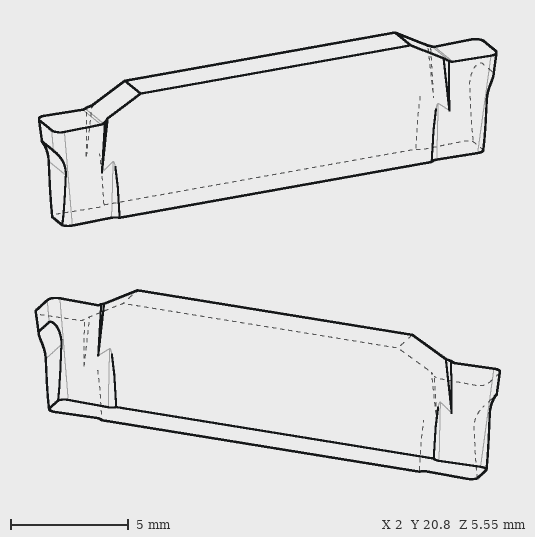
import cadquery as cq
import math

length = 20.83
head_width = 2.0
body_width = 1.58
body_height = 5.55
head_height = 4.5

tip_y = -length / 2
rake_length = 2.23
ramp_end = 4.08
neck_end = 2.8

nose_radius = 0.4
front_relief = 0.5
flank_relief = 0.25
flank_back_taper = 0.044
rake_blend_radius = 0.23
clearance_depth = 0.55
clearance_top = 3.52
clearance_bottom = 2.44

shoulder_top = 2.52
shoulder_relief = 0.5
shoulder_run = 1.4

runout_radius = 0.4
cut_margin = 0.42

half_body = body_width / 2
relief_slope = flank_relief / head_height


def flank_x(depth, z):
    """Half width of the head at a distance behind the edge and a height."""
    return head_width / 2 - flank_back_taper * (depth - nose_radius) - relief_slope * (head_height - z)


def side_profile():
    """Lengthwise outline of the half part, from the tip to mid-length."""
    land_depth = front_relief * (head_height - clearance_top) / head_height
    rise = clearance_top - clearance_bottom
    run = clearance_depth - land_depth
    radius = (rise**2 + run**2) / (2 * run)
    half_angle = math.asin(rise / radius) / 2
    arc_middle = (
        tip_y + clearance_depth - radius * (1 - math.cos(half_angle)),
        clearance_bottom + radius * math.sin(half_angle),
    )
    ramp_angle = math.atan2(body_height - head_height, ramp_end - rake_length)
    blend = rake_blend_radius * math.tan(ramp_angle / 2)
    blend_start = tip_y + rake_length - blend
    blend_end = (
        tip_y + rake_length + blend * math.cos(ramp_angle),
        head_height + blend * math.sin(ramp_angle),
    )
    return (
        cq.Workplane("YZ", origin=(-head_width, 0, 0))
        .moveTo(0, 0)
        .lineTo(tip_y + clearance_depth, 0)
        .lineTo(tip_y + clearance_depth, clearance_bottom)
        .threePointArc(arc_middle, (tip_y + land_depth, clearance_top))
        .lineTo(tip_y, head_height)
        .lineTo(blend_start, head_height)
        .tangentArcPoint(blend_end, relative=False)
        .lineTo(tip_y + ramp_end, body_height)
        .lineTo(0, body_height)
        .close()
        .extrude(2 * head_width)
    )


def head_section(z):
    """Rounded-nose outline of the head at a given height."""
    front = front_relief * (head_height - z) / head_height
    half_front = flank_x(front, z)
    half_back = flank_x(neck_end, z)
    outline = cq.Sketch().polygon([
        (-half_front, tip_y + front),
        (half_front, tip_y + front),
        (half_back, tip_y + neck_end),
        (-half_back, tip_y + neck_end),
        (-half_front, tip_y + front),
    ])
    outline = outline.vertices("<Y").fillet(nose_radius).reset()
    return outline.moved(cq.Location(cq.Vector(0, 0, z)))


def shoulder_cutter():
    """Wedge removing the head's right side behind its sloping shoulder."""
    outer_x = head_width / 2 + cut_margin

    def section(z):
        relief = shoulder_relief * (head_height - z) / head_height
        inner_y = tip_y + shoulder_top - relief
        outer_y = inner_y - shoulder_run * (outer_x - half_body)
        back_y = tip_y + neck_end + cut_margin
        points = [(half_body, inner_y), (outer_x, outer_y), (outer_x, back_y), (half_body, back_y)]
        return cq.Wire.makePolygon([cq.Vector(x, y, z) for x, y in points], close=True)

    return cq.Workplane(cq.Solid.makeLoft([section(0), section(body_height)], True))


def runout_cutter():
    """Leaning concave cut that fades the right flank out into the body."""
    start_y = tip_y + neck_end
    diagonal = runout_radius * math.sqrt(0.5)

    def section(z):
        start_x = flank_x(neck_end, z)
        center_x = start_x + runout_radius
        return (
            cq.Workplane("XY", origin=(0, 0, z))
            .moveTo(start_x, start_y)
            .threePointArc((center_x - diagonal, start_y + diagonal), (center_x, start_y + runout_radius))
            .lineTo(center_x, start_y)
            .close()
            .wire()
            .val()
        )

    return cq.Workplane(cq.Solid.makeLoft([section(0), section(body_height)], True))


def cut_both_sides(solid, cutter):
    return solid.cut(cutter).cut(cutter.mirror("YZ"))


head = cq.Workplane().placeSketch(head_section(0), head_section(body_height)).loft(ruled=True)
head = cut_both_sides(head, shoulder_cutter())

plate_length = length / 2 - neck_end
plate = cq.Workplane("XY").box(body_width, plate_length, body_height, centered=(True, False, False))
plate = plate.translate((0, -plate_length, 0))
plate = cut_both_sides(plate, runout_cutter())

half_part = head.union(plate).intersect(side_profile())
result = half_part.union(half_part.mirror("XZ")).clean()